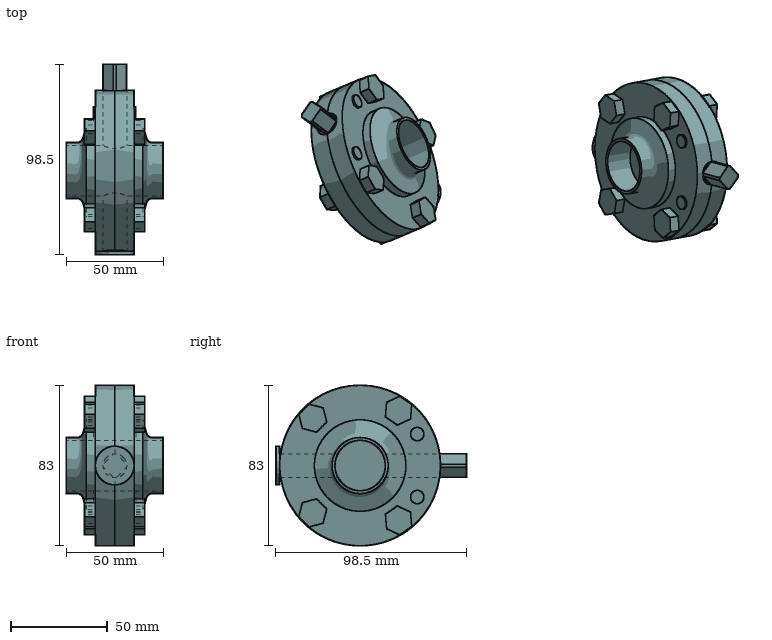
import cadquery as cq
import math

flange_diameter = 83.0
housing_thickness = 20.0
half_thickness = housing_thickness / 2
flange_radius = flange_diameter / 2

neck_end = 25.0
bore_radius = 13.0
pipe_radius = 14.5
hub_radius = 23.6
hub_end = 14.6
cone_angle = math.radians(75)
neck_fillet = 3.1

bolt_circle_radius = 34.6
bolt_angles = [55, 135, -135, -55]
head_across_flats = 13.0
head_height = 5.6

dowel_radius = 3.4
dowel_y = 29.5
dowel_z = 16.3
dowel_height = 1.0

disc_half_thickness = half_thickness
shaft_radius = 6.1
square_across_flats = 9.7
cap_radius = half_thickness
cap_thickness = 2.0
cap_outer_y = -43.5
cap_inner_y = cap_outer_y + cap_thickness
stem_end_y = 55.0
square_start_y = math.sqrt(flange_radius**2 - shaft_radius**2)


def x_cylinder(radius, start_x, length, y=0.0, z=0.0):
    """Cylinder along +X."""
    return cq.Workplane("YZ", origin=(start_x, y, z)).circle(radius).extrude(length)


def y_cylinder(radius, start_y, end_y):
    """Cylinder along +Y, centred on the Y axis."""
    return cq.Workplane("XZ", origin=(0, start_y, 0)).circle(radius).extrude(start_y - end_y)


def make_flange_and_neck():
    """Solid of revolution about X: flange, hub, cone, fillet arc and pipe end, with the bore."""
    arc_end_radius = pipe_radius + neck_fillet * (1 - math.cos(cone_angle))
    arc_end_x = hub_end + (hub_radius - arc_end_radius) / math.tan(cone_angle)
    arc_center_x = arc_end_x + neck_fillet * math.sin(cone_angle)
    arc_center_radius = pipe_radius + neck_fillet
    arc_middle = (
        arc_center_x - neck_fillet * math.sin(cone_angle / 2),
        arc_center_radius - neck_fillet * math.cos(cone_angle / 2),
    )
    return (
        cq.Workplane("XZ")
        .moveTo(0, bore_radius)
        .lineTo(0, flange_radius)
        .lineTo(half_thickness, flange_radius)
        .lineTo(half_thickness, hub_radius)
        .lineTo(hub_end, hub_radius)
        .lineTo(arc_end_x, arc_end_radius)
        .threePointArc(arc_middle, (arc_center_x, pipe_radius))
        .lineTo(neck_end, pipe_radius)
        .lineTo(neck_end, bore_radius)
        .close()
        .revolve(360, (0, 0, 0), (1, 0, 0))
    )


def make_bolt_head(angle):
    """Hexagonal head on the flange face, turned to the given angle on the bolt circle."""
    head_corner_diameter = head_across_flats / math.cos(math.radians(30))
    return (
        cq.Workplane("YZ", origin=(half_thickness, 0, 0))
        .transformed(rotate=(0, 0, angle))
        .center(bolt_circle_radius, 0)
        .transformed(rotate=(0, 0, 30))
        .polygon(6, head_corner_diameter)
        .extrude(head_height)
    )


def make_housing_half():
    """Half on the +X side, with the shaft bore cut through its rim."""
    half = make_flange_and_neck()
    for angle in bolt_angles:
        half = half.union(make_bolt_head(angle))
    for side in (1, -1):
        half = half.union(x_cylinder(dowel_radius, half_thickness, dowel_height, dowel_y, side * dowel_z))
    return half.cut(y_cylinder(shaft_radius, -flange_radius, flange_radius))


def make_square_end():
    """Square drive end, its edges on X and Z and rounded off to the shaft diameter."""
    square = (
        cq.Workplane("XZ", origin=(0, square_start_y, 0))
        .transformed(rotate=(0, 0, 45))
        .rect(square_across_flats, square_across_flats)
        .extrude(square_start_y - stem_end_y)
    )
    return square.intersect(y_cylinder(shaft_radius, square_start_y, stem_end_y))


def make_valve_disc():
    """Closed disc that fills the bore, in one piece with its shaft, cap and drive end."""
    disc = x_cylinder(bore_radius, -disc_half_thickness, 2 * disc_half_thickness)
    shaft = y_cylinder(shaft_radius, cap_inner_y, square_start_y)
    cap = y_cylinder(cap_radius, cap_outer_y, cap_inner_y)
    return disc.union(shaft).union(cap).union(make_square_end())


right_half = make_housing_half()
left_half = right_half.mirror("YZ")
valve_disc = make_valve_disc()

result = cq.Compound.makeCompound([left_half.val(), right_half.val(), valve_disc.val()])